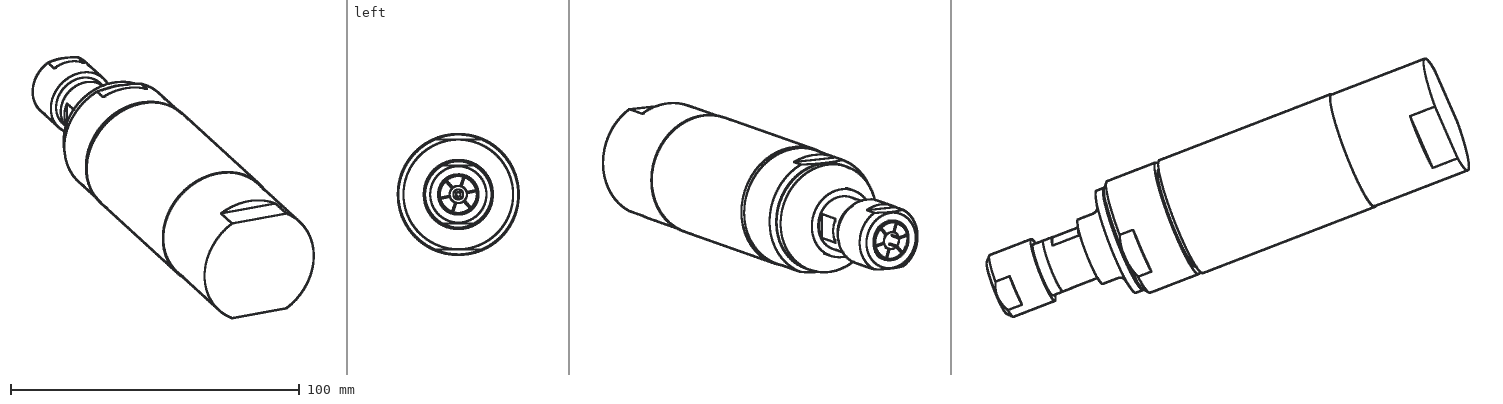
import cadquery as cq
import math

total_length = 168.42
nut_face = 0.3
nut_chamfer_end = 2.0
nut_flat_end = 7.3
nut_end = 17.5
shaft_step = 21.4
shaft_flat_start = 24.5
shaft_flat_end = 34.4
neck_start = 35.2
neck_end = 40.7
rim_length = 2.8
ring_groove_width = 0.4
cap_chamfer_length = 1.5
cap_flat_end = 54.6
cap_end = 67.7
sleeve_start = 69.2
sleeve_end = 133.5
rear_flat_start = 159.1

nut_face_diameter = 19.5
nut_diameter = 23.0
shaft_front_diameter = 19.0
shaft_diameter = 18.98
neck_diameter = 24.0
rim_diameter = 38.0
ring_groove_diameter = 35.35
cap_diameter = 41.5
cap_front_diameter = 38.0
gap_diameter = 36.0
sleeve_diameter = 42.0
rear_diameter = 41.5

neck_fillet_radius = 3.0
cone_angle = 15.0

nut_across_flats = 20.0
shaft_across_flats = 17.0
cap_across_flats = 38.0
rear_across_flats = 36.0

mouth_diameter = 14.0
collet_diameter = 12.8
mouth_groove_depth = 1.0
bore_diameter = 6.0
bore_depth = 10.0
stop_diameter = 3.4
stop_length = 1.0
stop_hole_diameter = 1.6
slot_count = 6
slot_width = 0.4
slot_depth = 5.0
first_slot_angle = 12.0


def turned_body():
    """Revolve the stepped outline about X; return the solid and the station where the cap starts."""
    neck_radius = neck_diameter / 2
    rim_radius = rim_diameter / 2
    slope = math.radians(cone_angle)

    def fillet_point(turn):
        """Point on the neck fillet after it has turned this far from the axis direction."""
        return (
            neck_end + neck_fillet_radius * math.sin(turn),
            neck_radius + neck_fillet_radius * (1 - math.cos(turn)),
        )

    full_turn = math.pi / 2 - slope
    cone_start = fillet_point(full_turn)
    rim_start = cone_start[0] + (rim_radius - cone_start[1]) * math.tan(slope)
    rim_end = rim_start + rim_length
    cap_start = rim_end + ring_groove_width

    outline = (
        cq.Workplane("XY")
        .moveTo(0, 0)
        .lineTo(0, collet_diameter / 2)
        .lineTo(nut_face, collet_diameter / 2)
        .lineTo(nut_face, nut_face_diameter / 2)
        .lineTo(nut_chamfer_end, nut_diameter / 2)
        .lineTo(nut_end, nut_diameter / 2)
        .lineTo(nut_end, shaft_front_diameter / 2)
        .lineTo(shaft_step, shaft_front_diameter / 2)
        .lineTo(shaft_step, shaft_diameter / 2)
        .lineTo(neck_start, shaft_diameter / 2)
        .lineTo(neck_start, neck_radius)
        .lineTo(neck_end, neck_radius)
        .threePointArc(fillet_point(full_turn / 2), cone_start)
        .lineTo(rim_start, rim_radius)
        .lineTo(rim_end, rim_radius)
        .lineTo(rim_end, ring_groove_diameter / 2)
        .lineTo(cap_start, ring_groove_diameter / 2)
        .lineTo(cap_start, cap_front_diameter / 2)
        .lineTo(cap_start + cap_chamfer_length, cap_diameter / 2)
        .lineTo(cap_end, cap_diameter / 2)
        .lineTo(cap_end, gap_diameter / 2)
        .lineTo(sleeve_start, gap_diameter / 2)
        .lineTo(sleeve_start, sleeve_diameter / 2)
        .lineTo(sleeve_end, sleeve_diameter / 2)
        .lineTo(sleeve_end, rear_diameter / 2)
        .lineTo(total_length, rear_diameter / 2)
        .lineTo(total_length, 0)
        .close()
    )
    return outline.revolve(360, (0, 0, 0), (1, 0, 0)), cap_start


def cylinder(start, end, diameter):
    """Solid cylinder on the X axis between two stations."""
    return cq.Workplane("YZ", origin=(start, 0, 0)).circle(diameter / 2).extrude(end - start)


def flat_cutter(start, end, across_flats, roll=0):
    """Two blocks above and below the axis, rolled about X, that leave a pair of flats."""
    block_size = sleeve_diameter
    blocks = cq.Workplane("XY")
    for side in (1, -1):
        center = ((start + end) / 2, 0, side * (across_flats + block_size) / 2)
        blocks = blocks.add(cq.Workplane("XY").box(end - start, block_size, block_size).translate(center))
    return blocks.combine().rotate((0, 0, 0), (1, 0, 0), roll)


def collet_cutter():
    """Ring groove, stepped bore and radial slots in the collet end."""
    groove_end = nut_face + mouth_groove_depth
    cutter = cylinder(nut_face, groove_end, mouth_diameter)
    cutter = cutter.cut(cylinder(nut_face, groove_end, collet_diameter))
    stop = cylinder(bore_depth - stop_length, bore_depth, stop_diameter)
    stop = stop.cut(cylinder(bore_depth - stop_length, bore_depth, stop_hole_diameter))
    cutter = cutter.union(cylinder(0, bore_depth, bore_diameter).cut(stop))
    for index in range(slot_count):
        slot = (
            cq.Workplane("XY")
            .box(slot_depth, collet_diameter / 2, slot_width, centered=(False, False, True))
            .rotate((0, 0, 0), (1, 0, 0), 180 - first_slot_angle + index * 360 / slot_count)
        )
        cutter = cutter.union(slot)
    return cutter


body, cap_start = turned_body()
body = body.cut(flat_cutter(nut_face, nut_flat_end, nut_across_flats))
body = body.cut(flat_cutter(shaft_flat_start, shaft_flat_end, shaft_across_flats, roll=90))
body = body.cut(flat_cutter(cap_start, cap_flat_end, cap_across_flats))
body = body.cut(flat_cutter(rear_flat_start, total_length, rear_across_flats))
result = body.cut(collet_cutter())